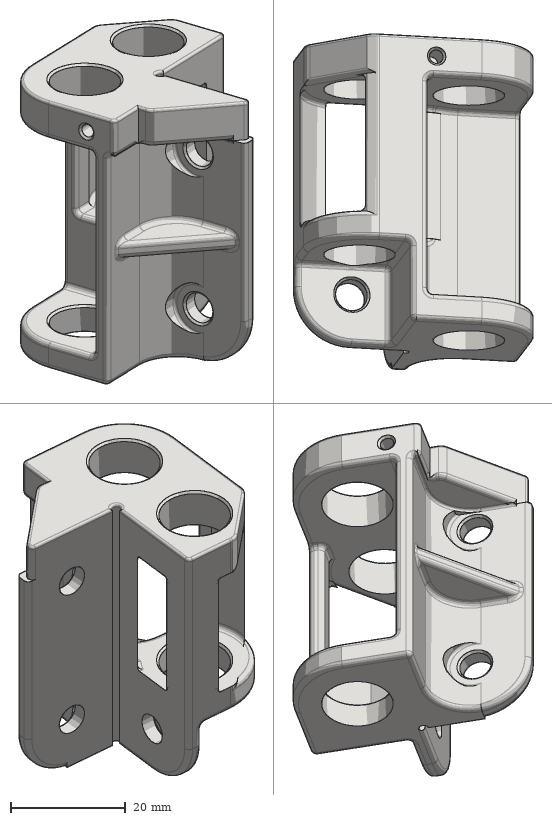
import cadquery as cq
import math

HEIGHT = 51.6
SIDE = 40.75
SEAT_FACE = 20.8
PLATE = 3.0
EDGE = 1.0
BOTTOM_EDGE = 0.95
TOP_EDGE = 0.5
CHAMFER = 0.4
FAR = 15.5
TOL = 0.05

BORE_D = 12.5
BORE_X = 11.25
BORES_Y = (11.25, 30.75)
OUTER_R = BORE_X
FLOOR = 5.0
SHELF = 19.55
SHELF_BOTTOM = 14.45
CEILING = 44.45

POCKET_WALL = 20.85
POCKET_R = POCKET_WALL - BORE_X
WEB_FACE = POCKET_WALL + PLATE
REAR_R = 10.35
NECK = 8.5
FLARE_R = 10.0

CLIP_DIST = 8.95
CLIP_R = 2.5

PLATE_FACE = SEAT_FACE - PLATE
PLATE_R = 10.0
PLATE_HOLE_D = 5.6
PLATE_HOLE = SIDE - PLATE_R
X_PLATE_HOLES_Z = (10.0, 40.2)
Y_PLATE_HOLE_Z = 9.05
SPOT_R = 5.0
SPOT_DEPTH = 10.3
WEB_TOP_R = 0.5
WEB_R = 8.0

SLAB_END = 25.35
SLAB_STEP = 7.2
SLAB_DIAGONAL = 20.45
SLAB_TIP = 39.85
SLAB_R = 1.05
SLAB_KNEE_R = 2.0
TIP_R = 0.95
RIB_Z = 25.05
RIB_DIAGONAL = 21.25
RELIEF_R = 0.8

SCREW_D = 2.4
SCREW_POS = 19.3
SCREW_Z = 48.05
SCREW_DEPTH = 5.0


def box(x0, x1, y0, y1, z0, z1):
    size = (x1 - x0, y1 - y0, z1 - z0)
    return cq.Workplane("XY").box(*size, centered=False).translate((x0, y0, z0))


def prism(points, z0, z1):
    return cq.Workplane("XY", origin=(0, 0, z0)).polyline(points).close().extrude(z1 - z0)


def cylinder(origin, direction, radius, length):
    return cq.Workplane(cq.Plane(origin=origin, normal=direction)).circle(radius).extrude(length)


def within(x0, x1, y0, y1, z0, z1):
    """Selector for edges whose centre lies in the given box."""
    return cq.selectors.BoxSelector((x0 - TOL, y0 - TOL, z0 - TOL), (x1 + TOL, y1 + TOL, z1 + TOL))


def upright(body, x, y):
    """The vertical edges standing at (x, y)."""
    return body.edges("|Z").edges(within(x, x, y, y, 0, HEIGHT))


def hole(origin, direction, diameter, depth):
    """Cutter for a hole with a chamfered mouth at its origin."""
    plane = cq.Plane(origin=origin, normal=direction)
    mouth = cq.Solid.makeCone(diameter / 2 + CHAMFER, diameter / 2, CHAMFER, plane.origin, plane.zDir)
    return cylinder(origin, direction, diameter / 2, depth).union(cq.Workplane(mouth))


def spot_face(origin, direction):
    """Cutter that clears a round seat around a plate hole."""
    spot = cylinder(origin, direction, SPOT_R, SPOT_DEPTH)
    return spot.edges(cq.selectors.NearestToPointSelector(origin)).fillet(TOP_EDGE)


def block():
    return box(0, SEAT_FACE, 0, SIDE, 0, HEIGHT).edges("|Z and <X").fillet(OUTER_R)


def slab_prism(z0):
    """Pointed part of the top slab above the X plate, with sharp corners."""
    points = [
        (BORE_X, 0),
        (SLAB_END, 0),
        (SLAB_END, SLAB_STEP),
        (SLAB_STEP + SLAB_DIAGONAL, SLAB_STEP),
        (SLAB_TIP, SLAB_TIP - SLAB_DIAGONAL),
        (SLAB_TIP, SEAT_FACE),
        (BORE_X, SEAT_FACE),
    ]
    return prism(points, z0, HEIGHT)


def slab_trim():
    """Everything to take off the sharp slab to round its corners and its lower rim."""
    sharp = slab_prism(CEILING)
    rounded = upright(sharp, SLAB_END, 0).fillet(SLAB_R)
    rounded = upright(rounded, SLAB_END, SLAB_STEP).fillet(SLAB_R)
    rounded = upright(rounded, SLAB_STEP + SLAB_DIAGONAL, SLAB_STEP).fillet(SLAB_KNEE_R)
    tip = within(SLAB_TIP, SLAB_TIP, PLATE_FACE, SEAT_FACE, 0, HEIGHT)
    rounded = rounded.edges("|Z").edges(tip).fillet(TIP_R)
    rim = rounded.faces("<Z").edges(within(SLAB_END, SLAB_END, SLAB_R, SLAB_STEP, CEILING, CEILING))
    free_part = box(WEB_FACE + 2 * WEB_TOP_R, SIDE, -TOL, PLATE_FACE, 0, HEIGHT)
    lower = sharp.cut(rim.fillet(EDGE)).intersect(free_part)
    return sharp.cut(rounded).union(lower)


def x_plate():
    plate = box(PLATE_FACE, SIDE, PLATE_FACE, SEAT_FACE, 0, CEILING)
    plate = plate.edges("|Y and >X and <Z").fillet(PLATE_R)
    return upright(plate, SIDE, PLATE_FACE).fillet(EDGE)


def x_plate_spots():
    """Spot faces of the X plate holes, kept clear of the blend under the slab."""
    headroom = box(0, SIDE, -FAR, SIDE, 0, CEILING - WEB_TOP_R)
    spots = [spot_face((PLATE_HOLE, PLATE_FACE, z), (0, -1, 0)) for z in X_PLATE_HOLES_Z]
    return spots[0].union(spots[1]).intersect(headroom)


def x_plate_void():
    """Open space in front of the X plate, blended into web and slab."""
    void = box(WEB_FACE, SIDE + FAR, -FAR, PLATE_FACE, -FAR, CEILING)
    void = void.edges("|Z and <X and >Y").fillet(WEB_R)
    return void.faces(">Z").edges("<X or >Y").fillet(WEB_TOP_R)


def web():
    """Thick wall carrying the X plate, before it is hollowed out in front."""
    return box(BORE_X, WEB_FACE + WEB_R, 0, SEAT_FACE, 0, CEILING)


def y_plate_void():
    """Open space beside the Y plate, below the shelf."""
    void = box(-FAR, PLATE_FACE, WEB_FACE, SIDE + FAR, -FAR, SHELF_BOTTOM)
    void = void.edges("|X and <Y and >Z").fillet(EDGE)
    void = void.faces(">X").edges("<Y or >Z").fillet(EDGE)
    return void.union(spot_face((PLATE_FACE, PLATE_HOLE, Y_PLATE_HOLE_Z), (-1, 0, 0)))


def pockets():
    """Main pocket, rear pocket and the passage between them as one cutter."""
    main = box(-FAR, POCKET_WALL, -FAR, POCKET_WALL, FLOOR, CEILING)
    main = main.edges("|Z and >X and >Y").fillet(POCKET_R)
    main = main.faces("<Z").edges("not(<X or <Y)").fillet(EDGE)
    rear = box(BORE_X - NECK, BORE_X + NECK, BORE_X, BORES_Y[1], SHELF, CEILING)
    rear = rear.union(cylinder((BORE_X, BORES_Y[1], SHELF), (0, 0, 1), REAR_R, CEILING - SHELF))
    rear = rear.faces("<Z").edges("not(<Y)").fillet(EDGE)
    both = main.union(rear)
    shelf_rim = within(BORE_X - NECK + EDGE, BORE_X, POCKET_WALL, POCKET_WALL, SHELF, SHELF)
    both = both.edges(shelf_rim).fillet(EDGE)
    both = both.faces(">Z").edges("not(<X or <Y)").fillet(EDGE)
    reach_y = math.sqrt(REAR_R ** 2 - (SIDE - BORES_Y[1]) ** 2)
    reach_x = math.sqrt(REAR_R ** 2 - (SEAT_FACE - BORE_X) ** 2)
    window_y = box(BORE_X - NECK, BORE_X + reach_y, BORES_Y[1], SIDE + FAR, SHELF, CEILING)
    window_x = box(BORE_X, SEAT_FACE + EDGE, BORES_Y[1] - reach_x, BORES_Y[1] + reach_x, SHELF, CEILING)
    both = both.union(window_y.edges("|Y").fillet(TOP_EDGE))
    return both.union(window_x.edges("|X").fillet(TOP_EDGE))


def flare():
    """Gentle blend where the passage wall meets the round wall of the main pocket."""
    wall = BORE_X + NECK
    reach = POCKET_R + FLARE_R
    centre_x = wall + FLARE_R
    turn = math.acos((centre_x - BORE_X) / reach)
    centre_y = BORE_X + reach * math.sin(turn)
    touch = (BORE_X + POCKET_R * math.cos(turn), BORE_X + POCKET_R * math.sin(turn))
    middle = (centre_x - FLARE_R * math.cos(turn / 2), centre_y - FLARE_R * math.sin(turn / 2))
    sketch = cq.Workplane("XY", origin=(0, 0, SHELF + EDGE)).moveTo(wall, centre_y)
    sketch = sketch.threePointArc(middle, touch).lineTo(BORE_X + POCKET_R / 2, touch[1])
    sketch = sketch.lineTo(BORE_X + POCKET_R / 2, centre_y).close()
    return sketch.extrude(CEILING - SHELF - 2 * EDGE)


def clipped_block():
    """Block with its rear corner cut off by a slanted plane and rounded again."""
    plane = box(-FAR, FAR, CLIP_DIST, FAR, 0, HEIGHT).rotate((0, 0, 0), (0, 0, 1), 45)
    clipped = block().cut(plane.translate((BORE_X, SIDE - OUTER_R, 0)))
    corner = within(0, BORE_X / 2, SIDE - OUTER_R, SIDE, 0, HEIGHT)
    other = within(BORE_X / 2, BORE_X - EDGE, SIDE - OUTER_R, SIDE, 0, HEIGHT)
    return clipped.edges("|Z").edges(corner + other).fillet(CLIP_R)


def clip():
    """Corner removed above the shelf, with the rounded rims of shelf and slab."""
    corner = block().cut(clipped_block())
    centre = (BORE_X, SIDE - OUTER_R, 0)
    upper = corner.intersect(box(0, SIDE, 0, SIDE, SHELF, HEIGHT))
    ring = cq.Workplane("XZ").moveTo(OUTER_R, SHELF - EDGE)
    ring = ring.radiusArc((OUTER_R - EDGE, SHELF), -EDGE).lineTo(OUTER_R, SHELF).close()
    ring = ring.revolve(360, (0, 0), (0, 1)).translate(centre).intersect(corner)
    half = REAR_R - PLATE
    rim = cq.Workplane("YZ", origin=(-half, 0, 0)).moveTo(CLIP_DIST - EDGE, CEILING)
    rim = rim.radiusArc((CLIP_DIST, CEILING + EDGE), -EDGE).lineTo(CLIP_DIST, CEILING).close()
    rim = rim.extrude(2 * half).rotate((0, 0, 0), (0, 0, 1), 45).translate(centre)
    return upper.union(ring).union(rim)


def rib():
    """Slanted stiffening rib between web and X plate, rounded along its free edge."""
    near = WEB_FACE - 0.5
    far = PLATE_FACE + 0.5
    points = [(near, near - RIB_DIAGONAL), (far + RIB_DIAGONAL, far), (near, far)]
    body = prism(points, RIB_Z - PLATE / 2, RIB_Z + PLATE / 2)
    middle = (near + far + RIB_DIAGONAL) / 2
    slanted = within(middle, middle, middle - RIB_DIAGONAL, middle - RIB_DIAGONAL, 0, HEIGHT)
    return body.edges(slanted).fillet(EDGE)


result = block().union(web()).union(slab_prism(CEILING - 2 * EDGE))
result = result.cut(x_plate_void()).cut(y_plate_void())
result = result.edges(within(PLATE_FACE, SEAT_FACE, SIDE, SIDE, 0, 0)).fillet(PLATE_R)
result = upright(result, WEB_FACE, 0).fillet(EDGE)
result = upright(result, 0, WEB_FACE).fillet(EDGE)
bottom_front = within(BORE_X, WEB_FACE, 0, 0, 0, 0)
result = result.faces("<Z").edges(bottom_front).fillet(BOTTOM_EDGE)

result = result.cut(slab_trim())
result = result.union(x_plate()).cut(x_plate_spots())
result = result.cut(clip())
result = upright(result, SIDE, SEAT_FACE).fillet(EDGE)
result = upright(result, SEAT_FACE, SIDE).fillet(EDGE)
result = result.cut(cylinder((SEAT_FACE, SEAT_FACE, 0), (0, 0, 1), RELIEF_R, HEIGHT))
result = result.faces(">Z").edges().fillet(TOP_EDGE)

result = result.cut(pockets())
result = result.edges(within(0, 0, POCKET_WALL, POCKET_WALL, FLOOR, CEILING)).fillet(EDGE)
result = result.cut(flare())

result = result.union(rib())
root_x = WEB_FACE + 0.8 * WEB_R
lower_root = within(WEB_FACE, root_x, SLAB_STEP, PLATE_FACE, RIB_Z - PLATE / 2, RIB_Z - PLATE / 2)
upper_root = within(WEB_FACE, root_x, SLAB_STEP, PLATE_FACE, RIB_Z + PLATE / 2, RIB_Z + PLATE / 2)
result = result.edges(lower_root + upper_root).fillet(EDGE)

for z in X_PLATE_HOLES_Z:
    result = result.cut(hole((PLATE_HOLE, PLATE_FACE, z), (0, 1, 0), PLATE_HOLE_D, PLATE))
result = result.cut(hole((PLATE_FACE, PLATE_HOLE, Y_PLATE_HOLE_Z), (1, 0, 0), PLATE_HOLE_D, PLATE))

for y, floor in zip(BORES_Y, (FLOOR, SHELF)):
    result = result.cut(hole((BORE_X, y, HEIGHT), (0, 0, -1), BORE_D, HEIGHT - CEILING))
    result = result.cut(hole((BORE_X, y, floor), (0, 0, -1), BORE_D, floor))

result = result.cut(hole((SCREW_POS, 0, SCREW_Z), (0, 1, 0), SCREW_D, SCREW_DEPTH))
result = result.cut(hole((0, SCREW_POS, SCREW_Z), (1, 0, 0), SCREW_D, SCREW_DEPTH))